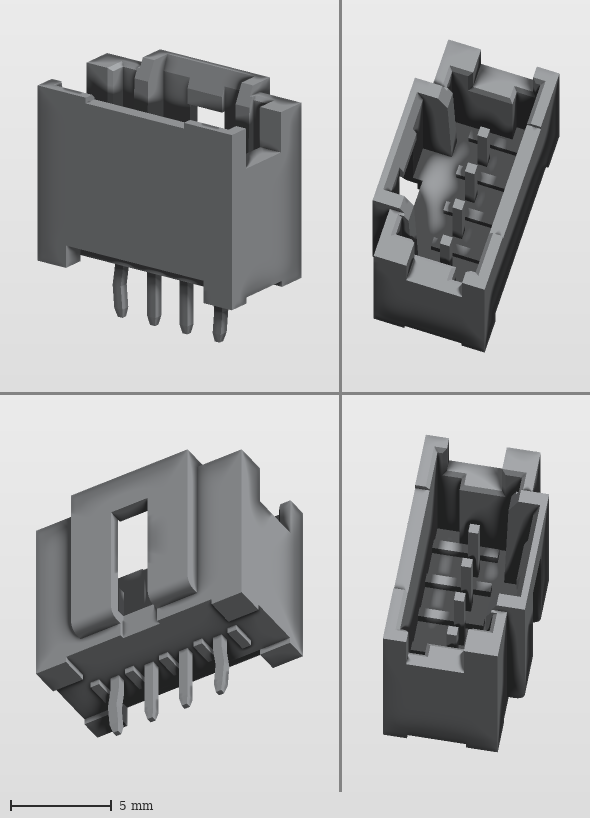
import cadquery as cq


width = 12.0
depth = 5.8
height = 9.275
floor_top = 1.75

front_wall = 0.73
wide_half = 5.2
narrow_half = 4.52
step_y = 1.97
cavity_back = 5.12
lead_in = 0.2

notch_y = (1.18, 4.09)
notch_depth = 2.13
relief_width = 6.06
relief_depth = 0.3

foot_half = 4.25
foot_y = (1.22, 4.2)
underside_z = 0.32
front_opening_top = 1.18

tower_half = 3.4
tower_inner_half = 2.7
tower_top = height + 0.5
tower_bottom = 1.1
tower_back = 6.7
tower_bottom_radius = 0.5
tower_rim_y = 6.37
tower_wall_y = 6.05
tower_lead_slope = 0.4

slot_half = 1.07
slot_front = 5.54
beam_face_y = 5.85
beam_bottom = 7.65

arm_half = 3.55
arm_rim_y = 5.27
arm_nose_y = 4.77
arm_nose_z = tower_top - 1.0
arm_foot_y = 4.55

pin_count = 4
pitch = 2.0
pin_size = 0.5
pin_y = 2.98
pin_top = 6.0
pin_bottom = -3.175
tip_start = -2.7
tip_size = 0.3
bend_start = -0.5
bend_peak = -1.5
bend_offset = 0.14
rib_width = 0.5
rib_back = 4.03
rib_height = 0.5
lower_rib_y = (2.07, 3.48)

pin_span = (pin_count - 1) * pitch


def block(x, y, z):
    """Box spanning the given (low, high) ranges."""
    size = [high - low for low, high in (x, y, z)]
    return cq.Workplane("XY").box(*size, centered=False).translate((x[0], y[0], z[0]))


def centred_block(half, y, z):
    return block((-half, half), y, z)


def side_profile(points, x_low, x_high):
    """Outline in (Y, Z), extruded along X."""
    return cq.Workplane("YZ").polyline(points).close().extrude(x_high - x_low).translate((x_low, 0, 0))


def housing_shell():
    body = centred_block(width / 2, (0, depth), (0, height))
    cavity_z = (floor_top, height)
    body = body.cut(centred_block(wide_half, (front_wall, step_y), cavity_z))
    body = body.cut(centred_block(narrow_half, (front_wall, cavity_back), cavity_z))
    notch_bottom = height - notch_depth
    body = body.cut(centred_block(width / 2, notch_y, (notch_bottom, height)))

    slack = 0.01
    rim = cq.selectors.BoxSelector(
        (-wide_half - slack, front_wall - slack, notch_bottom - slack),
        (wide_half + slack, cavity_back + slack, height + slack),
        boundingbox=True,
    )
    body = body.edges(rim).chamfer(lead_in)
    relief_z = (height - relief_depth, height)
    return body.cut(centred_block(relief_width / 2, (0, front_wall), relief_z))


def carve_underside(body):
    body = body.cut(centred_block(width / 2, foot_y, (0, underside_z)))
    body = body.cut(centred_block(foot_half, (foot_y[0], depth), (0, underside_z)))
    return body.cut(centred_block(foot_half, (0, foot_y[0]), (0, front_opening_top)))


def latch_tower():
    tower = centred_block(tower_half, (arm_rim_y, tower_back), (tower_bottom, tower_top))
    return tower.edges("|X and >Y and <Z").fillet(tower_bottom_radius)


def arm(side):
    """Drafted arm with a sloped nose; above the housing rim it is as narrow as the tower."""
    lower = side_profile(
        [
            (arm_rim_y, tower_top),
            (arm_nose_y, arm_nose_z),
            (arm_foot_y, floor_top),
            (depth, floor_top),
            (depth, tower_top),
        ],
        tower_inner_half,
        arm_half,
    )
    overhang = block((tower_half, arm_half), (0, tower_back), (height, tower_top))
    trimmed = lower.cut(overhang)
    return trimmed if side > 0 else trimmed.mirror("YZ")


def tower_opening(half, wall_y, bottom):
    """Opening with a sloped lead-in running from the rim down to wall_y."""
    slope_end = tower_top - (tower_rim_y - wall_y) / tower_lead_slope
    outline = [
        (arm_foot_y, bottom),
        (wall_y, bottom),
        (wall_y, slope_end),
        (tower_rim_y, tower_top),
        (arm_foot_y, tower_top),
    ]
    return side_profile(outline, -half, half)


def carve_tower(body):
    beam = centred_block(slot_half, (beam_face_y, tower_wall_y), (beam_bottom, tower_top))
    beam = beam.cut(tower_opening(slot_half, beam_face_y, beam_bottom))
    body = body.cut(tower_opening(tower_inner_half, tower_wall_y, floor_top)).union(beam)
    return body.cut(centred_block(slot_half, (slot_front, tower_back), (0, beam_bottom)))


def ribs():
    group = cq.Workplane("XY")
    for i in range(pin_count + 1):
        x = i * pitch - (pin_span + pitch) / 2
        x_range = (x - rib_width / 2, x + rib_width / 2)
        group = group.union(block(x_range, (front_wall, rib_back), (floor_top, floor_top + rib_height)))
        group = group.union(block(x_range, lower_rib_y, (0, underside_z)))
    return group


def pin(x, bend):
    """Square pin whose tail kinks sideways by bend and comes back at the tip."""
    tip_fraction = (tip_start - pin_bottom) / (bend_peak - pin_bottom)
    half = pin_size / 2
    tip_half = tip_size / 2
    stations = [
        (0, pin_top, half),
        (0, bend_start, half),
        (bend, bend_peak, half),
        (bend * tip_fraction, tip_start, half),
        (0, pin_bottom, tip_half),
    ]
    left = [(x + shift - w, z) for shift, z, w in stations]
    right = [(x + shift + w, z) for shift, z, w in reversed(stations)]
    shape = cq.Workplane("XZ").polyline(left + right).close().extrude(half, both=True)

    side = [(half, pin_top), (half, tip_start), (tip_half, pin_bottom)]
    side += [(-y, z) for y, z in reversed(side)]
    reach = pin_size + bend_offset
    return shape.intersect(side_profile(side, x - reach, x + reach)).translate((0, pin_y, 0))


def build():
    body = carve_underside(housing_shell()).union(latch_tower())
    body = carve_tower(body)
    for side in (-1, 1):
        body = body.union(arm(side))
    body = body.union(ribs())
    for i in range(pin_count):
        x = i * pitch - pin_span / 2
        bend = {0: -bend_offset, pin_count - 1: bend_offset}.get(i, 0)
        body = body.union(pin(x, bend))
    return body


result = build()